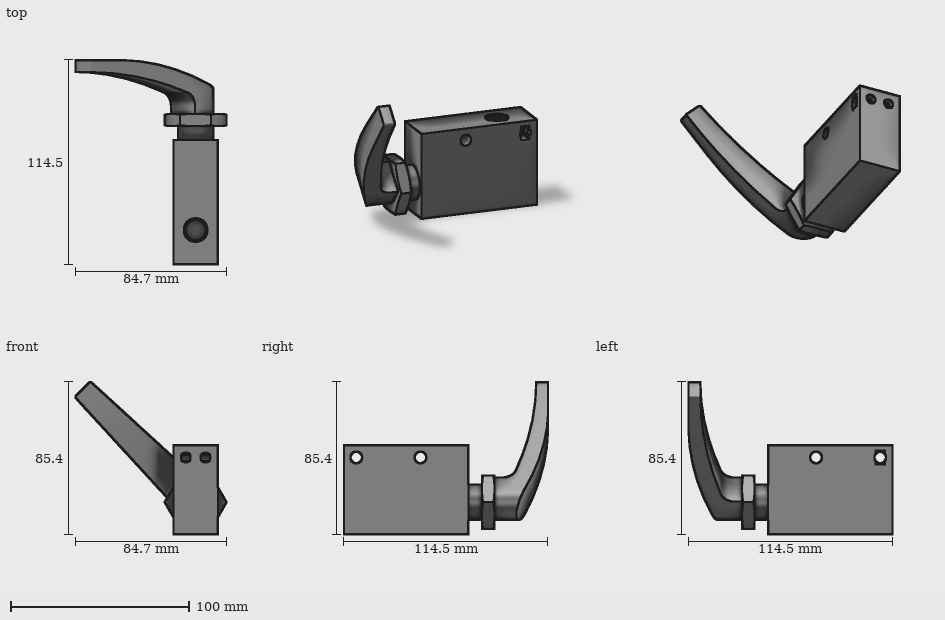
import cadquery as cq
import math


block_width = 25.0
block_length = 69.7
block_height = 50.0
axis_height = 18.0
block_bottom = -axis_height
block_top = block_bottom + block_height

cross_diameter = 6.4
cross_inset = 7.0
cross_spacing = 36.0
cross_z = block_top - cross_inset
front_cross_y = -block_length + cross_inset
rear_cross_y = front_cross_y + cross_spacing

slot_width = 5.2
slot_height = 7.9
slot_depth = 22.9

front_port_diameter = 5.5
front_port_spacing = 11.0

top_port_diameter = 11.5
top_port_depth = 10.0
top_port_chamfer = 0.9
top_port_y = -block_length + 19.2

neck_diameter = 20.0
neck_radius = neck_diameter / 2
neck_exposed = 7.7
nut_thickness = 7.0
nut_flats = 30.0
nut_corners = nut_flats / math.cos(math.radians(30))
nut_chamfer = 0.6
nut_rear = neck_exposed + nut_thickness

lever_angle = 45.0
lever_length = 89.7
tip_half_width = 6.2
tip_radius = 1.1
overall_length = 114.5
lever_rear = overall_length - block_length
tip_thickness = 6.8
heel_y = 26.9
crown_point = (33.4, 41.5)
crown_end = 71.0
throat_start_y = 18.7
throat_end = (16.6, 26.8)


def cylinder_y(diameter, start, end, x=0.0, z=0.0):
    """Cylinder along Y from start to end."""
    return cq.Workplane("XZ", origin=(x, start, z)).circle(diameter / 2).extrude(start - end)


def make_housing():
    """Valve block with its neck and holes."""
    body = cq.Workplane("XY").box(block_width, block_length, block_height).translate(
        (0, -block_length / 2, block_bottom + block_height / 2)
    )
    body = body.union(cylinder_y(neck_diameter, 0, nut_rear))

    for y in (front_cross_y, rear_cross_y):
        plane = cq.Workplane("YZ", origin=(0, y, cross_z))
        body = body.cut(plane.circle(cross_diameter / 2).extrude(block_width, both=True))
    slot = cq.Workplane("XY").box(slot_depth, slot_width, slot_height)
    body = body.cut(slot.translate(((slot_depth - block_width) / 2, front_cross_y, cross_z)))

    for side in (-1, 1):
        x = side * front_port_spacing / 2
        body = body.cut(cylinder_y(front_port_diameter, -block_length, front_cross_y, x, cross_z))

    top_plane = cq.Workplane("XY", origin=(0, top_port_y, block_top))
    port = top_plane.circle(top_port_diameter / 2).extrude(-top_port_depth)
    mouth = top_plane.circle(top_port_diameter / 2 + top_port_chamfer).workplane(
        offset=-top_port_chamfer
    ).circle(top_port_diameter / 2).loft()
    return body.cut(port).cut(mouth)


def make_nut():
    """Hexagon nut on the neck, its corners chamfered on both faces."""
    hexagon = cq.Workplane("XZ", origin=(0, neck_exposed, 0)).polygon(6, nut_corners).extrude(-nut_thickness)
    envelope = (
        cq.Workplane("XY")
        .moveTo(0, neck_exposed)
        .lineTo(nut_flats / 2, neck_exposed)
        .lineTo(nut_corners / 2, neck_exposed + nut_chamfer)
        .lineTo(nut_corners / 2, nut_rear - nut_chamfer)
        .lineTo(nut_flats / 2, nut_rear)
        .lineTo(0, nut_rear)
        .close()
        .revolve(360, (0, 0, 0), (0, 1, 0))
    )
    bore = cylinder_y(neck_diameter, neck_exposed, nut_rear)
    return hexagon.intersect(envelope).cut(bore)


def make_lever():
    """Curved tapering lever standing on the end of the neck."""
    tip_inner_y = lever_rear - tip_thickness
    run = lever_length - throat_end[0]
    rise = tip_inner_y - throat_end[1]
    underside_radius = (run**2 + rise**2) / (2 * rise)
    middle_drop = underside_radius - math.sqrt(underside_radius**2 - (run / 2) ** 2)
    underside_middle = (-(throat_end[0] + run / 2), tip_inner_y - middle_drop)
    profile = (
        cq.Workplane("XY")
        .moveTo(neck_radius, nut_rear)
        .lineTo(-neck_radius, nut_rear)
        .lineTo(-neck_radius, throat_start_y)
        .tangentArcPoint((-throat_end[0], throat_end[1]), relative=False)
        .threePointArc(underside_middle, (-lever_length, tip_inner_y))
        .lineTo(-lever_length, lever_rear)
        .lineTo(-crown_end, lever_rear)
        .threePointArc((-crown_point[0], crown_point[1]), (neck_radius, heel_y))
        .close()
        .extrude(neck_diameter, both=True)
    )

    tip_distance = math.hypot(lever_length, tip_half_width)
    tangent_angle = math.acos(neck_radius / tip_distance) + math.atan2(tip_half_width, lever_length)
    tangent_x = -neck_radius * math.cos(tangent_angle)
    tangent_z = neck_radius * math.sin(tangent_angle)
    outline = (
        cq.Workplane("XZ", origin=(0, nut_rear, 0))
        .moveTo(tangent_x, tangent_z)
        .threePointArc((neck_radius, 0), (tangent_x, -tangent_z))
        .lineTo(-lever_length, -tip_half_width)
        .lineTo(-lever_length, tip_half_width)
        .close()
        .extrude(nut_rear - lever_rear)
        .edges("|Y and <X")
        .fillet(tip_radius)
    )
    return profile.intersect(outline).rotate((0, 0, 0), (0, 1, 0), lever_angle)


housing = make_housing()
nut = make_nut()
lever = make_lever()

result = cq.Compound.makeCompound([housing.val(), nut.val(), lever.val()])